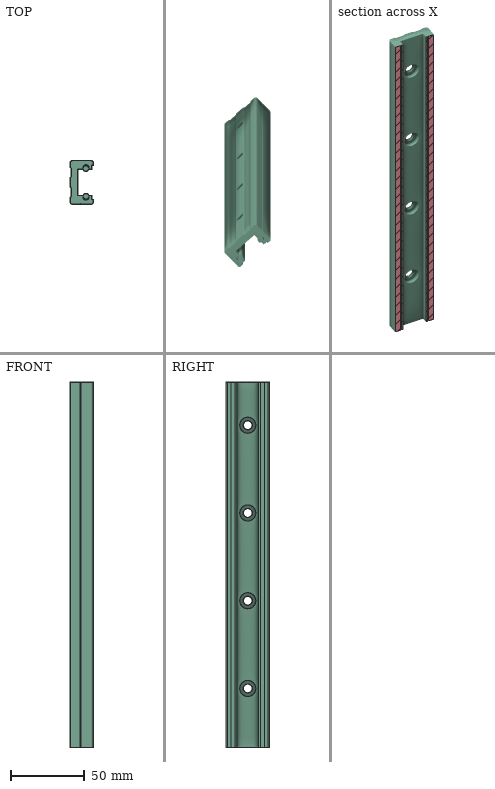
import cadquery as cq

length = 250.0
rail_depth = 15.8
rail_width = 30.0

corner_radius = 1.8
corner_run_x = 1.5
corner_run_y = 1.12

web_thickness = 5.2
channel_width = 17.8

relief_depth = 0.62
relief_inner = 3.2
relief_outer = 10.2
relief_radius = 1.5
relief_run = 1.0

tip_setback = 1.0
tip_setback_width = 23.2

rod_diameter = 4.0
rod_x = 10.8
rod_spacing = 19.0
seat_clearance = 0.5

mark_x = 7.0
mark_width = 0.5
mark_depth = 0.2

hole_diameter = 6.0
counterbore_diameter = 11.0
counterbore_depth = 3.0
hole_pitch = 60.0
hole_count = 4
top_hole_drop = 29.5

rod_y = rod_spacing / 2


def box_between(x_start, x_end, y_start, y_end):
    """Full-length block between two X and two Y positions."""
    block = cq.Workplane("XY").box(x_end - x_start, y_end - y_start, length, centered=False)
    return block.translate((x_start, y_start, 0))


def make_rail_blank():
    half_width = rail_width / 2
    return (
        cq.Workplane("XY")
        .moveTo(corner_run_x, -half_width)
        .lineTo(rail_depth - corner_run_x, -half_width)
        .radiusArc((rail_depth, corner_run_y - half_width), -corner_radius)
        .lineTo(rail_depth, half_width - corner_run_y)
        .radiusArc((rail_depth - corner_run_x, half_width), -corner_radius)
        .lineTo(corner_run_x, half_width)
        .radiusArc((0, half_width - corner_run_y), -corner_radius)
        .lineTo(0, corner_run_y - half_width)
        .radiusArc((corner_run_x, -half_width), -corner_radius)
        .close()
        .extrude(length)
    )


def make_relief(y_start, y_end):
    """Cutter for one relief groove whose flat floor curves up to the back face at both sides."""
    return (
        cq.Workplane("XY")
        .moveTo(0, y_start)
        .radiusArc((relief_depth, y_start + relief_run), -relief_radius)
        .lineTo(relief_depth, y_end - relief_run)
        .radiusArc((0, y_end), -relief_radius)
        .close()
        .extrude(length)
    )


def make_rod(side):
    return cq.Workplane("XY").center(rod_x, side * rod_y).circle(rod_diameter / 2).extrude(length)


def make_rod_seat(side):
    """Cutter for a U-shaped seat with a round bottom, open toward the channel."""
    seat_y = side * (rod_y + seat_clearance)
    radius = rod_diameter / 2
    bottom = cq.Workplane("XY").center(rod_x, seat_y).circle(radius).extrude(length)
    mouth = box_between(rod_x - radius, rod_x + radius, *sorted((0, seat_y)))
    return bottom.union(mouth)


def make_marking_groove():
    face_y = -rail_width / 2
    corners = [
        (mark_x - mark_width / 2, face_y),
        (mark_x, face_y + mark_depth),
        (mark_x + mark_width / 2, face_y),
    ]
    return cq.Workplane("XY").polyline(corners).close().extrude(length)


def make_mounting_holes():
    heights = [length - top_hole_drop - i * hole_pitch for i in range(hole_count)]
    points = [(0, height) for height in heights]
    holes = cq.Workplane("YZ").pushPoints(points).circle(hole_diameter / 2).extrude(web_thickness)
    counterbores = (
        cq.Workplane("YZ", origin=(web_thickness - counterbore_depth, 0, 0))
        .pushPoints(points)
        .circle(counterbore_diameter / 2)
        .extrude(counterbore_depth)
    )
    return holes.union(counterbores)


def make_rail():
    rail = make_rail_blank()
    rail = rail.cut(box_between(web_thickness, rail_depth, -channel_width / 2, channel_width / 2))
    rail = rail.cut(
        box_between(rail_depth - tip_setback, rail_depth, -tip_setback_width / 2, tip_setback_width / 2)
    )
    rail = rail.cut(make_relief(relief_inner, relief_outer))
    rail = rail.cut(make_relief(-relief_outer, -relief_inner))
    for side in (-1, 1):
        rail = rail.cut(make_rod_seat(side))
    rail = rail.cut(make_marking_groove())
    return rail.cut(make_mounting_holes())


rail = make_rail()
rods = [make_rod(side).val() for side in (-1, 1)]

result = cq.Compound.makeCompound([rail.val(), *rods])